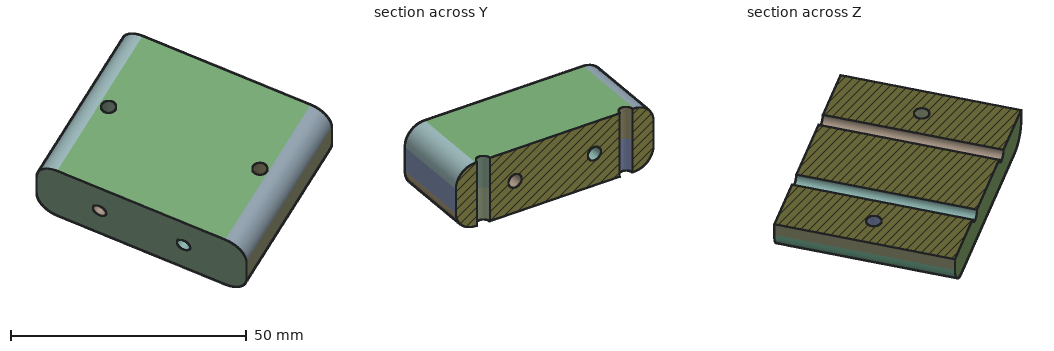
import cadquery as cq

width = 50.0
depth = 40.0
height = 16.0
edge_radius = 5.0

hole_diameter = 3.2
depth_hole_spacing = 20.0
vertical_hole_spacing = 36.0

block = cq.Workplane("XY").box(width, depth, height).edges("|Y").fillet(edge_radius)


def through_hole_pair(plane, spacing, length):
    """Two cylinders spaced along X, centred on the block and normal to the plane."""
    return (
        cq.Workplane(plane)
        .pushPoints([(-spacing / 2, 0), (spacing / 2, 0)])
        .circle(hole_diameter / 2)
        .extrude(length / 2, both=True)
    )


depth_holes = through_hole_pair("XZ", depth_hole_spacing, depth)
vertical_holes = through_hole_pair("XY", vertical_hole_spacing, height)

result = block.cut(depth_holes).cut(vertical_holes)